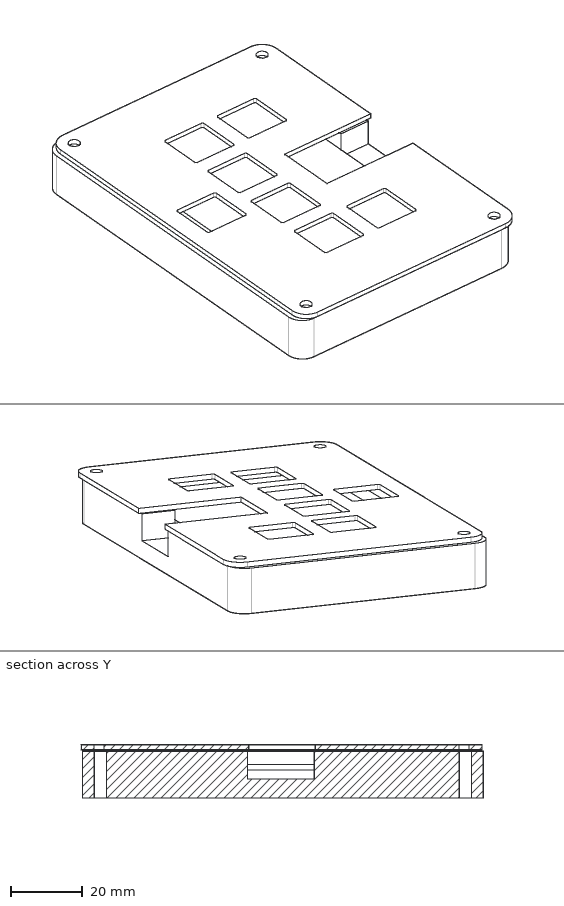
import cadquery as cq

case_length = 112.0
case_width = 78.0
corner_radius = 5.0
screw_hole_diameter = 3.4

base_height = 13.1
wall_thickness = 10.0
notch_width = 18.5
notch_floor_height = 5.4
base_notch_offset = 0.6

board_top_height = 9.4
board_thickness = 1.6
board_back_clearance = 1.5
board_side_clearance = board_back_clearance / 2
tray_floor_height = board_top_height - board_thickness

lid_thickness = 1.5
lid_gap = 0.3
lid_shift_x = 0.3
lid_shift_y = 1.1
lid_notch_depth = 31.1
lid_notch_offset = -0.1

key_size = 14.0
key_pitch = 19.0
key_corner_radius = 0.6
key_centre_x = -0.3
key_middle_row_y = -7.0
key_grid = [(-1.5, 1), (1.5, 1), (-1.5, 0), (-0.5, 0), (0.5, 0), (1.5, 0), (0, -1)]


def rounded_plate(thickness):
    """Case outline centred on the origin, with a screw hole concentric with each corner."""
    return (
        cq.Workplane("XY")
        .rect(case_length, case_width)
        .extrude(thickness)
        .edges("|Z")
        .fillet(corner_radius)
        .faces(">Z")
        .workplane()
        .rect(case_length - 2 * corner_radius, case_width - 2 * corner_radius, forConstruction=True)
        .vertices()
        .hole(screw_hole_diameter)
    )


def back_notch(depth, centre_x, bottom, top):
    """Cutter for a notch that opens through the back edge of the case outline."""
    return (
        cq.Workplane("XY", origin=(centre_x, (case_width - depth) / 2, bottom))
        .rect(notch_width, depth)
        .extrude(top - bottom)
    )


def make_base():
    cavity = (
        cq.Workplane("XY", origin=(0, 0, tray_floor_height))
        .rect(case_length - 2 * wall_thickness, case_width - 2 * wall_thickness)
        .extrude(base_height - tray_floor_height)
    )
    cable_notch = back_notch(wall_thickness, base_notch_offset, notch_floor_height, base_height)
    return rounded_plate(base_height).cut(cavity).cut(cable_notch)


def make_board():
    """Board that touches the front wall of the tray and leaves a gap at the back and sides."""
    board_length = case_length - 2 * wall_thickness - 2 * board_side_clearance
    board_width = case_width - 2 * wall_thickness - board_back_clearance
    return (
        cq.Workplane("XY", origin=(0, -board_back_clearance / 2, tray_floor_height))
        .rect(board_length, board_width)
        .extrude(board_thickness)
    )


def make_lid():
    key_centres = [
        (key_centre_x + column * key_pitch, key_middle_row_y + row * key_pitch)
        for column, row in key_grid
    ]
    key_windows = (
        cq.Workplane("XY")
        .pushPoints(key_centres)
        .rect(key_size, key_size)
        .extrude(lid_thickness)
        .edges("|Z")
        .fillet(key_corner_radius)
    )
    cable_notch = back_notch(lid_notch_depth, lid_notch_offset, 0, lid_thickness)
    lid = rounded_plate(lid_thickness).cut(cable_notch).cut(key_windows)
    return lid.translate((lid_shift_x, lid_shift_y, base_height + lid_gap))


base = make_base()
board = make_board()
lid = make_lid()

result = cq.Compound.makeCompound([base.val(), board.val(), lid.val()])